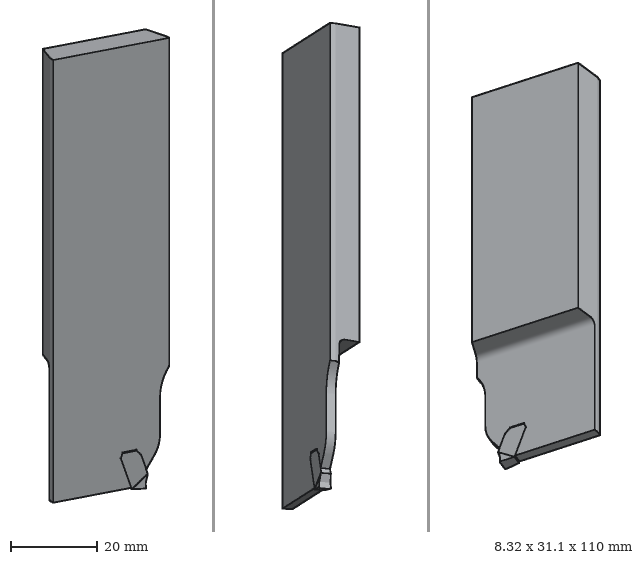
import cadquery as cq
import math


total_height = 110.0
holder_width = 31.1
shank_thickness = 8.0
back_land = 1.4
taper_angle = math.radians(15)
shoulder_height = 34.6
shoulder_radius = 1.6

blade_thickness = 2.36
blade_bottom = 0.86
blade_front = shank_thickness - blade_thickness
half_width = holder_width / 2

relief_top = 29.1
neck_y = 13.1
upper_curve_radius = 12.0
neck_bottom = 12.7
lower_curve_radius = 8.5
nose_angle = math.radians(35)

insert_thickness = 3.0
insert_width = 5.1
insert_tilt = math.radians(20)
insert_top = 9.78
heel_y = 5.7
top_back_y = 3.0
back_corner_z = 8.6
front_chamfer = 1.22
rake_top_z = 4.6
rake_crest = (9.78, 3.5)
rake_hollow = (9.15, 1.5)
cutting_tip = (9.15, 0.0)
bottom_back_z = 0.5
flank_line_top = (9.78, 3.6)
flank_line_bottom = (6.1, 0.95)
flank_step = 0.06
tip_corner_radius = 0.3
seat_clearance = 0.25

slope = math.tan(insert_tilt)
front_y = heel_y + insert_width / math.cos(insert_tilt)
chamfer_z = insert_top - front_chamfer
chamfer_y = front_y - chamfer_z * slope
top_front_y = chamfer_y - front_chamfer


def shank_plan():
    """Trapezoid with a short straight land along the back face."""
    taper_run = shank_thickness - back_land
    narrow_half = half_width - taper_run * math.tan(taper_angle)
    return (
        cq.Workplane("XY")
        .moveTo(0, -narrow_half)
        .lineTo(taper_run, -half_width)
        .lineTo(shank_thickness, -half_width)
        .lineTo(shank_thickness, half_width)
        .lineTo(taper_run, half_width)
        .lineTo(0, narrow_half)
        .close()
    )


def shoulder_cut():
    """Material removed in front of the blade, rounded into the shoulder."""
    return (
        cq.Workplane("XZ")
        .moveTo(0, 0)
        .lineTo(blade_front, 0)
        .lineTo(blade_front, shoulder_height - shoulder_radius)
        .radiusArc((blade_front - shoulder_radius, shoulder_height), -shoulder_radius)
        .lineTo(0, shoulder_height)
        .close()
        .extrude(half_width, both=True)
    )


def side_outline():
    """Holder outline seen along X, with the stepped-back edge beside the insert."""
    relief_depth = half_width - neck_y
    upper_drop = math.sqrt(2 * upper_curve_radius * relief_depth - relief_depth**2)
    lower_end_y = neck_y - lower_curve_radius * (1 - math.cos(nose_angle))
    lower_end_z = neck_bottom - lower_curve_radius * math.sin(nose_angle)
    nose_y = lower_end_y - (lower_end_z - blade_bottom) * math.tan(nose_angle)
    return (
        cq.Workplane("YZ")
        .moveTo(-half_width, blade_bottom)
        .lineTo(-half_width, total_height)
        .lineTo(half_width, total_height)
        .lineTo(half_width, relief_top)
        .radiusArc((neck_y, relief_top - upper_drop), -upper_curve_radius)
        .lineTo(neck_y, neck_bottom)
        .radiusArc((lower_end_y, lower_end_z), lower_curve_radius)
        .lineTo(nose_y, blade_bottom)
        .close()
    )


def insert_blank():
    """Insert outline at full thickness, centred on the blade."""
    start = blade_front - (insert_thickness - blade_thickness) / 2
    return (
        cq.Workplane("YZ", origin=(start, 0, 0))
        .moveTo(*cutting_tip)
        .lineTo(heel_y - bottom_back_z * slope, bottom_back_z)
        .lineTo(heel_y - back_corner_z * slope, back_corner_z)
        .lineTo(top_back_y, insert_top)
        .lineTo(top_front_y, insert_top)
        .lineTo(chamfer_y, chamfer_z)
        .lineTo(front_y - rake_top_z * slope, rake_top_z)
        .lineTo(*rake_crest)
        .lineTo(*rake_hollow)
        .lineTo(*cutting_tip)
        .close()
        .extrude(insert_thickness)
    )


def round_tip_corners(blank):
    """Round both side edges of the face under the cutting edge."""
    face_middle = (
        blade_front + blade_thickness / 2,
        (cutting_tip[0] + heel_y) / 2,
        (cutting_tip[1] + bottom_back_z) / 2,
    )
    bottom_face = blank.faces(cq.selectors.NearestToPointSelector(face_middle))
    return bottom_face.edges("not |X").fillet(tip_corner_radius)


def seat_gap():
    """Clearance slot through the blade above the inner end of the insert."""
    return (
        cq.Workplane("YZ", origin=(blade_front, 0, 0))
        .moveTo(top_back_y, insert_top)
        .lineTo(top_back_y, insert_top + seat_clearance)
        .lineTo(top_front_y, insert_top + seat_clearance)
        .lineTo(top_front_y, insert_top)
        .close()
        .extrude(blade_thickness)
    )


def flank_trim():
    """Cutter leaving the insert flush with the blade, except for flanks widening to the tip."""
    run_y = flank_line_bottom[0] - flank_line_top[0]
    run_z = flank_line_bottom[1] - flank_line_top[1]
    run = math.hypot(run_y, run_z)
    tip_y = cutting_tip[0] - flank_line_top[0]
    tip_z = cutting_tip[1] + tip_corner_radius - flank_line_top[1]
    tip_distance = abs(run_y * tip_z - run_z * tip_y) / run
    flare = (insert_thickness - blade_thickness) / 2
    reach = 2 * insert_top
    flank_plane = cq.Plane(
        origin=(blade_front, *flank_line_top),
        xDir=(-1, 0, 0),
        normal=(0, -run_y / run, -run_z / run),
    )
    return (
        cq.Workplane(flank_plane)
        .moveTo(0, 0)
        .lineTo(flank_step, 0)
        .lineTo(flare, -tip_distance)
        .lineTo(insert_thickness, -tip_distance)
        .lineTo(insert_thickness, reach)
        .lineTo(0, reach)
        .close()
        .extrude(reach, both=True)
    )


blade_middle = (shank_thickness - blade_thickness / 2, 0, 0)
front_trim = flank_trim()
back_trim = front_trim.mirror("YZ", blade_middle)
insert = round_tip_corners(insert_blank()).cut(front_trim).cut(back_trim)

holder = (
    shank_plan()
    .extrude(total_height)
    .cut(shoulder_cut())
    .intersect(side_outline().extrude(shank_thickness))
    .cut(insert_blank())
    .cut(seat_gap())
)

result = cq.Compound.makeCompound([*holder.solids().vals(), *insert.solids().vals()])